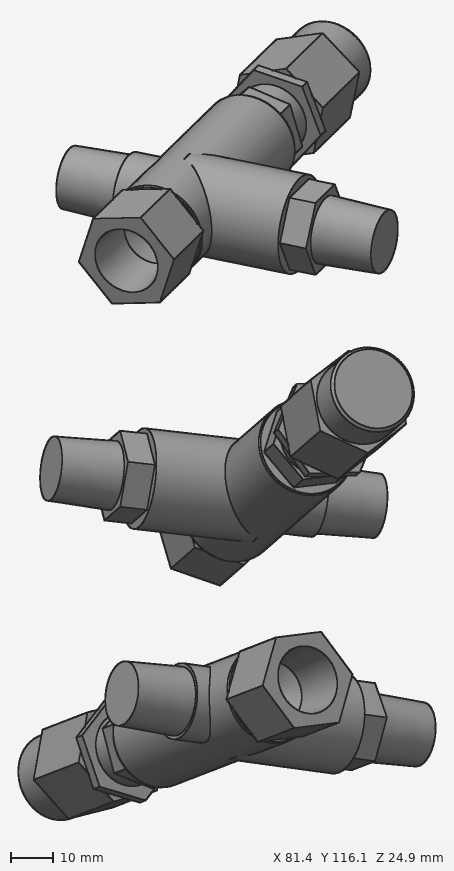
import cadquery as cq
import math


body_radius = 11.9
body_front = -17.7
body_back = 35.5
body_chamfer = 0.3

socket_front = -34.4
socket_hex_radius = 12.7
socket_hex_angle = 13

rear_hex_length = 6.5
rear_hex_radius = 10.9
rear_hex_angle = -13
neck_length = 5.9
neck_radius = 9.0
flange_length = 2.8
flange_hex_radius = 12.8
flange_hex_angle = -8
nut_length = 20.7
nut_hex_radius = 12.7
nut_hex_angle = 19
tail_length = 10.3
tail_radius = 10.5
tail_chamfer = 0.7

branch_length = 29.0
branch_radius = 12.0
branch_hex_length = 6.7
branch_hex_radius = 10.9
collar_length = 15.1
collar_radius = 9.1

thread_length = 15.3
thread_root_radius = 8.3
thread_tip_radius = 7.7
bore_mouth_radius = 8.1
bore_inner_radius = 7.5
bore_depth = 15.3
drill_point_angle = 118


def cylinder_y(start, length, radius):
    """Cylinder running from start toward +Y."""
    return cq.Workplane("XZ", origin=(0, start, 0)).circle(radius).extrude(-length)


def hexagon_y(start, length, radius, angle):
    """Hexagonal prism toward +Y; angle turns a corner from +X toward +Z."""
    section = cq.Workplane("XZ", origin=(0, start, 0)).polygon(6, 2 * radius)
    return section.extrude(-length).rotate((0, 0, 0), (0, -1, 0), angle)


def cylinder_x(length, radius):
    """Cylinder from the origin along X; a negative length points to -X."""
    return cq.Workplane("YZ").circle(radius).extrude(length)


def tapered_end(start, direction):
    """Tapered thread blank along X, narrowing away from the origin."""
    cone = cq.Solid.makeCone(
        thread_root_radius,
        thread_tip_radius,
        thread_length,
        pnt=cq.Vector(start, 0, 0),
        dir=cq.Vector(direction, 0, 0),
    )
    return cq.Workplane(cone)


def socket_bore():
    """Tapered blind bore with a conical drill point."""
    point_depth = bore_inner_radius / math.tan(math.radians(drill_point_angle / 2))
    bore_end = socket_front + bore_depth
    profile = (
        cq.Workplane("XY")
        .moveTo(0, socket_front)
        .lineTo(bore_mouth_radius, socket_front)
        .lineTo(bore_inner_radius, bore_end)
        .lineTo(0, bore_end + point_depth)
        .close()
    )
    return profile.revolve(360, (0, 0, 0), (0, 1, 0))


def rear_fitting():
    """Hexagon, neck, flange, long nut and chamfered tail, in order along +Y."""
    neck_start = body_back + rear_hex_length
    flange_start = neck_start + neck_length
    nut_start = flange_start + flange_length
    tail_start = nut_start + nut_length
    tail = cylinder_y(tail_start, tail_length, tail_radius).faces(">Y").chamfer(tail_chamfer)
    return (
        hexagon_y(body_back, rear_hex_length, rear_hex_radius, rear_hex_angle)
        .union(cylinder_y(neck_start, neck_length, neck_radius))
        .union(hexagon_y(flange_start, flange_length, flange_hex_radius, flange_hex_angle))
        .union(hexagon_y(nut_start, nut_length, nut_hex_radius, nut_hex_angle))
        .union(tail)
    )


def right_branch():
    """Branch slightly wider than the run, hexagon with corners on +Y and -Y, then threaded end."""
    hexagon = (
        cq.Workplane("YZ", origin=(branch_length, 0, 0))
        .polygon(6, 2 * branch_hex_radius)
        .extrude(branch_hex_length)
    )
    return (
        cylinder_x(branch_length, branch_radius)
        .union(hexagon)
        .union(tapered_end(branch_length + branch_hex_length, 1))
    )


def left_branch():
    """Round collar followed by a threaded end."""
    return cylinder_x(-collar_length, collar_radius).union(tapered_end(-collar_length, -1))


body = cylinder_y(body_front, body_back - body_front, body_radius)
body = body.faces("<Y or >Y").chamfer(body_chamfer)
socket = hexagon_y(socket_front, body_front - socket_front, socket_hex_radius, socket_hex_angle)

result = (
    body.union(right_branch())
    .union(left_branch())
    .union(rear_fitting())
    .union(socket)
    .cut(socket_bore())
)